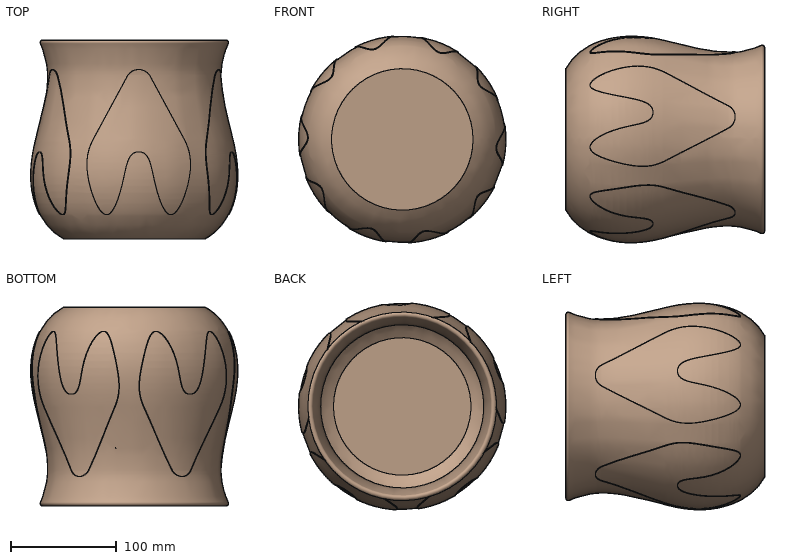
import cadquery as cq
import math

height = 188.22
base_y = 0.0
base_radius = 66.9
lower_bowl_radius = 84.2
lower_bowl_height = 15.3
belly_radius = 97.2
belly_height = 53.0
shoulder_radius = 90.2
shoulder_height = 105.0
neck_radius = 82.1
neck_height = 155.0
lip_outer_radius = 89.2
lip_flare_angle = 24.0

wall = 5.0
lip_round = wall / 2
floor_radius = 65.0

petal_count = 5
petal_raise = 0.7
petal_offset = 4.2

petal_apex_height = 160.3
petal_apex_round = 12.4
petal_side_angle = 28.4
petal_side_end_height = 95.0
petal_half_width = 48.9
petal_widest_height = 66.8
petal_lobe_x = 29.9
petal_lobe_height = 23.0
petal_notch_flank_x = 14.7
petal_notch_flank_height = 55.8
petal_notch_height = 82.5


def lip_point(turn):
    """Point on the rim's round section, turned in degrees from its outer tangent point."""
    angle = math.radians(turn - lip_flare_angle)
    centre_x = lip_outer_radius - lip_round
    centre_y = base_y + height - lip_round
    return (centre_x + lip_round * math.cos(angle), centre_y + lip_round * math.sin(angle))


def outer_points(grow):
    """Points of the outer wall above the base, with every radius enlarged by grow."""
    lip_x, lip_y = lip_point(0)
    return [
        (lower_bowl_radius + grow, base_y + lower_bowl_height),
        (belly_radius + grow, base_y + belly_height),
        (shoulder_radius + grow, base_y + shoulder_height),
        (neck_radius + grow, base_y + neck_height),
        (lip_x + grow, lip_y),
    ]


def inner_points():
    """Points of the inner wall, from the rim down to the floor."""
    bowl_shift = wall * math.sin(math.pi / 4)
    return [
        (neck_radius - wall, base_y + neck_height),
        (shoulder_radius - wall, base_y + shoulder_height),
        (belly_radius - wall, base_y + belly_height),
        (lower_bowl_radius - bowl_shift, base_y + lower_bowl_height + bowl_shift),
        (floor_radius, base_y + wall),
    ]


def revolve_about_y(profile):
    """Sweep a half profile a full turn around the vessel axis."""
    return profile.revolve(360, (0, 0, 0), (0, 1, 0))


def make_vessel():
    """Hollow vessel with a fully rounded rim."""
    profile = (
        cq.Workplane("XY")
        .moveTo(0, base_y)
        .lineTo(base_radius, base_y)
        .spline(outer_points(0), includeCurrent=True)
        .threePointArc(lip_point(90), lip_point(180))
        .spline(inner_points(), includeCurrent=True)
        .lineTo(0, base_y + wall)
        .close()
    )
    return revolve_about_y(profile)


def make_solid_form(grow):
    """Solid bounded by the outer wall, with every radius enlarged by grow."""
    points = outer_points(grow)
    top_y = points[-1][1]
    profile = (
        cq.Workplane("XY")
        .moveTo(0, base_y)
        .lineTo(base_radius + grow, base_y)
        .spline(points, includeCurrent=True)
        .lineTo(0, top_y)
        .close()
    )
    return revolve_about_y(profile)


def petal_outline():
    """Closed petal outline: round apex, straight sides, two lobes and a notch between them."""
    angle = math.radians(petal_side_angle)
    apex_centre_y = petal_apex_height - petal_apex_round
    side_start_x = petal_apex_round * math.cos(angle)
    side_start_y = apex_centre_y + petal_apex_round * math.sin(angle)
    side_end_x = side_start_x + (side_start_y - petal_side_end_height) * math.tan(angle)

    apex_mid_x = petal_apex_round * math.sin(math.pi / 4)
    apex_mid_y = apex_centre_y + petal_apex_round * math.cos(math.pi / 4)
    lobe_points = [
        (petal_half_width, petal_widest_height),
        (petal_lobe_x, petal_lobe_height),
        (petal_notch_flank_x, petal_notch_flank_height),
        (0, petal_notch_height),
    ]
    along_side = (math.sin(angle), -math.cos(angle))
    across_notch = (-1, 0)
    return (
        cq.Workplane("XY", origin=(petal_offset, base_y, 0))
        .moveTo(0, petal_apex_height)
        .threePointArc((apex_mid_x, apex_mid_y), (side_start_x, side_start_y))
        .lineTo(side_end_x, petal_side_end_height)
        .spline(lobe_points, tangents=[along_side, across_notch], scale=False, includeCurrent=True)
        .mirrorY()
    )


def make_petal():
    """One petal, projected along Z: it stands proud of the wall and is rooted halfway into it."""
    prism = petal_outline().extrude(belly_radius + 2 * petal_raise)
    outer_form = make_solid_form(petal_raise)
    root_form = make_solid_form(-wall / 2)
    return prism.intersect(outer_form).cut(root_form)


vessel = make_vessel()
petal = make_petal()
for index in range(petal_count):
    vessel = vessel.union(petal.rotate((0, 0, 0), (0, 1, 0), index * 360 / petal_count))

result = vessel